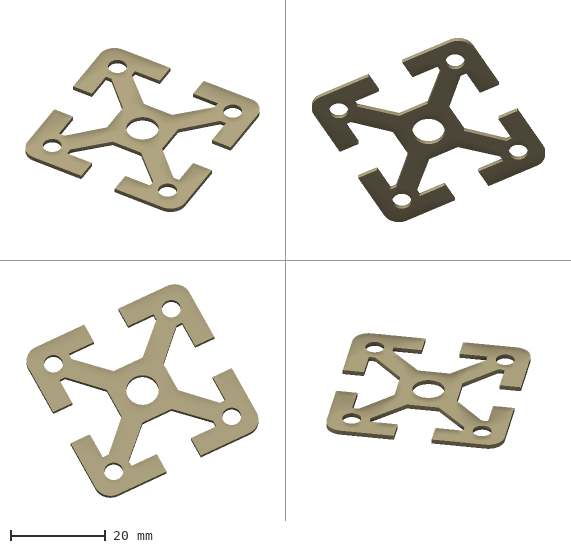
import cadquery as cq

side = 38.1
thickness = 1.0
corner_radius = 3.5

centre_hole_diameter = 6.82
corner_hole_diameter = 4.0
corner_hole_offset = 13.95

mouth_width = 8.08
lip_depth = 4.55
slot_width = 20.05
slot_wall_depth = 1.37
floor_width = 6.85
floor_offset = 6.65


def plate():
    blank = cq.Workplane("XY").box(side, side, thickness, centered=(True, True, False))
    return blank.edges("|Z").fillet(corner_radius)


def t_slot():
    """Cutter for the slot that opens towards +Y."""
    outer_y = side / 2
    lip_y = outer_y - lip_depth
    wall_y = lip_y - slot_wall_depth
    right_half = [
        (floor_width / 2, floor_offset),
        (slot_width / 2, wall_y),
        (slot_width / 2, lip_y),
        (mouth_width / 2, lip_y),
        (mouth_width / 2, outer_y),
    ]
    left_half = [(-x, y) for x, y in reversed(right_half)]
    return cq.Workplane("XY").polyline(right_half + left_half).close().extrude(thickness)


def holes():
    centre = cq.Workplane("XY").circle(centre_hole_diameter / 2).extrude(thickness)
    corners = (
        cq.Workplane("XY")
        .rect(2 * corner_hole_offset, 2 * corner_hole_offset, forConstruction=True)
        .vertices()
        .circle(corner_hole_diameter / 2)
        .extrude(thickness)
    )
    return centre.union(corners)


result = plate().cut(holes())
for quarter_turn in range(4):
    result = result.cut(t_slot().rotate((0, 0, 0), (0, 0, 1), 90 * quarter_turn))